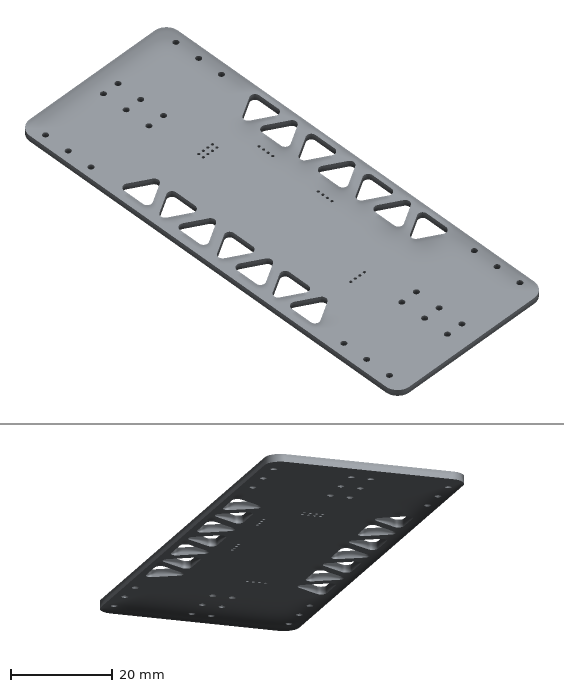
import cadquery as cq
import math

plate_length = 105.93
plate_width = 41.51
plate_thickness = 1.6
corner_radius = 3.3

mount_diameter = 1.4
mount_pitch = 6.35
mount_columns = 3
mount_pair_gap = 4.06
mount_outer_gap = 16.24
left_mount_x = -41.33
left_mount_y = -0.13
right_mount_x = 41.57
right_mount_y = 0.25

pin_diameter = 0.65
pin_pitch = 1.27
headers = [
    (-13.6, 9.13, 4, 1),
    (3.6, 8.46, 4, 1),
    (-21.8, 1.11, 2, 4),
    (24.06, -2.99, 1, 4),
]

window_core_side = 5.35
window_core_height = window_core_side * math.sqrt(3) / 2
window_corner_radius = 1.14
window_offsets = [-23.75, -16.1, -8.05, 0, 7.85, 15.5, 23.05]
upper_row_x = 0.85
upper_row_y = 15.8
lower_row_x = 0.7
lower_row_y = -15.0


def centred_positions(count, pitch):
    """Evenly spaced coordinates balanced about zero."""
    return [(i - (count - 1) / 2) * pitch for i in range(count)]


def make_plate():
    plate = cq.Workplane("XY").box(plate_length, plate_width, plate_thickness)
    return plate.edges("|Z").fillet(corner_radius)


def cut_holes(body, points, diameter):
    return body.faces(">Z").workplane(origin=(0, 0, 0)).pushPoints(points).hole(diameter)


def mount_points(center_x, center_y):
    """Two close middle rows with one outer row above and one below."""
    inner = mount_pair_gap / 2
    outer = inner + mount_outer_gap
    columns = centred_positions(mount_columns, mount_pitch)
    rows = [-outer, -inner, inner, outer]
    return [(center_x + x, center_y + y) for x in columns for y in rows]


def header_points(center_x, center_y, columns, rows):
    xs = centred_positions(columns, pin_pitch)
    ys = centred_positions(rows, pin_pitch)
    return [(center_x + x, center_y + y) for x in xs for y in ys]


def make_window(center_x, center_y, direction):
    """Rounded triangle; direction is 1 for apex toward +Y and -1 for apex toward -Y."""
    apex_y = center_y + direction * window_core_height / 2
    base_y = center_y - direction * window_core_height / 2
    corners = [
        (center_x - window_core_side / 2, base_y),
        (center_x + window_core_side / 2, base_y),
        (center_x, apex_y),
    ]
    outline = cq.Workplane("XY").workplane(offset=-plate_thickness).polyline(corners).close()
    return outline.offset2D(window_corner_radius, "arc").extrude(2 * plate_thickness)


def cut_window_row(body, row_x, row_y, first_direction):
    direction = first_direction
    for offset in window_offsets:
        body = body.cut(make_window(row_x + offset, row_y, direction))
        direction = -direction
    return body


result = make_plate()
result = cut_window_row(result, upper_row_x, upper_row_y, -1)
result = cut_window_row(result, lower_row_x, lower_row_y, 1)
result = cut_holes(result, mount_points(left_mount_x, left_mount_y), mount_diameter)
result = cut_holes(result, mount_points(right_mount_x, right_mount_y), mount_diameter)
for center_x, center_y, columns, rows in headers:
    result = cut_holes(result, header_points(center_x, center_y, columns, rows), pin_diameter)